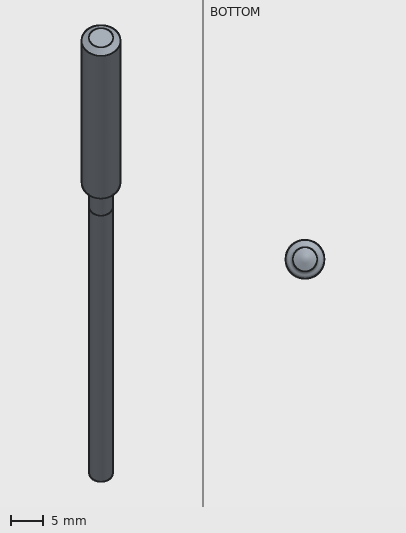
import cadquery as cq
import math

overall_length = 109.0
shank_length = 36.0
shank_diameter = 6.0
drill_diameter = 3.72
point_angle = 145.0
cutting_length = 67.0
rear_chamfer_height = 0.69
shoulder_height = 1.53

shank_radius = shank_diameter / 2
drill_radius = drill_diameter / 2
point_height = drill_radius / math.tan(math.radians(point_angle / 2))
shank_bottom = overall_length - shank_length
neck_top = shank_bottom - shoulder_height

shoulder_middle_radius = (shank_radius + drill_radius) / 2
shoulder_middle_height = (shank_bottom + neck_top) / 2


def revolve_about_drill_axis(half_profile):
    """Spin a closed half profile through a full turn about Z."""
    return half_profile.revolve(360, (0, 0, 0), (0, 1, 0))


def make_cutting_part():
    """Plain cylinder over the fluted length, ending in a conical point."""
    half_profile = (
        cq.Workplane("XZ")
        .lineTo(drill_radius, point_height)
        .lineTo(drill_radius, cutting_length)
        .lineTo(0, cutting_length)
        .close()
    )
    return revolve_about_drill_axis(half_profile)


def make_shank():
    """Neck, rounded shoulder and cylindrical shank with a chamfered rear end."""
    half_profile = (
        cq.Workplane("XZ")
        .moveTo(0, cutting_length)
        .lineTo(drill_radius, cutting_length)
        .lineTo(drill_radius, neck_top)
        .tangentArcPoint((shoulder_middle_radius, shoulder_middle_height), relative=False)
        .tangentArcPoint((shank_radius, shank_bottom), relative=False)
        .lineTo(shank_radius, overall_length - rear_chamfer_height)
        .lineTo(drill_radius, overall_length)
        .lineTo(0, overall_length)
        .close()
    )
    return revolve_about_drill_axis(half_profile)


cutting_part = make_cutting_part()
shank = make_shank()

result = cq.Compound.makeCompound([cutting_part.val(), shank.val()])